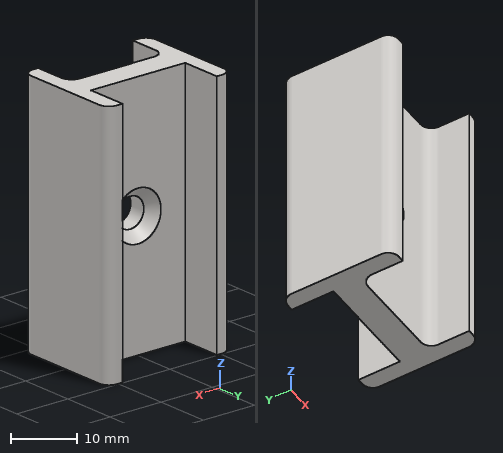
import cadquery as cq

width = 24.5
depth = 20.0
height = 45.0

flange_thickness = 3.0
web_thickness = 5.0
corner_radius = 2.0

hole_diameter = 5.3
countersink_diameter = 9.0

channel_width = width - 2 * flange_thickness
channel_depth = (depth - web_thickness) / 2
countersink_depth = (countersink_diameter - hole_diameter) / 2


def channel(side):
    """Full-height channel cutter; side is -1 for the front (-Y), +1 for the back."""
    center_y = side * (web_thickness + channel_depth) / 2
    return cq.Workplane("XY").box(channel_width, channel_depth, height).translate((0, center_y, 0))


body = cq.Workplane("XY").box(width, depth, height).edges("|Z").fillet(corner_radius)

front_channel = channel(-1).faces(">Y").edges("|Z").fillet(corner_radius)
back_channel = channel(1)
body = body.cut(front_channel).cut(back_channel)

hole = cq.Workplane("XZ").circle(hole_diameter / 2).extrude(depth / 2, both=True)

web_back = web_thickness / 2
countersink_profile = [
    (0, web_back),
    (countersink_diameter / 2, web_back),
    (hole_diameter / 2, web_back - countersink_depth),
    (0, web_back - countersink_depth),
]
countersink = cq.Workplane("XY").polyline(countersink_profile).close().revolve(360, (0, 0, 0), (0, 1, 0))

result = body.cut(hole).cut(countersink)